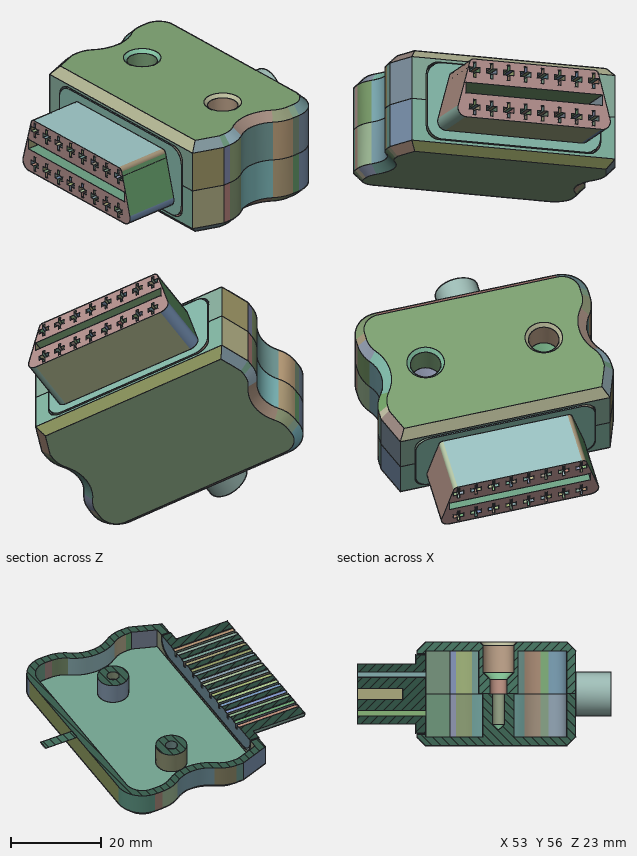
import cadquery as cq
import math


housing_width = 53.0
housing_height = 23.0
front_y = -18.05
rear_y = 17.1
rear_corner_radius = 6.0
waist_half_length = 9.3
waist_depth = 2.95
taper_start_y = -11.05
front_width = 47.85
edge_chamfer = 1.95
wall = 2.0

half_width = housing_width / 2
half_height = housing_height / 2

screw_spacing = 26.95
upper_boss_radius = 4.35
lower_boss_radius = 3.5
head_bore_radius = 3.35
head_bore_depth = 6.7
head_bore_chamfer = 0.8
shank_radius = 1.8
pilot_radius = 1.3
pilot_depth = 6.7

flange_width = 40.8
flange_height = 17.4
flange_corner_radius = 3.5
flange_protrusion = 0.2
window_clearance = 0.15
window_corner_radius = 3.0

plug_front_y = -31.15
plug_height = 13.35
plug_mid_width = 33.5
plug_side_angle = 15.0
plug_lower_radius = 1.95
plug_upper_radius = 1.0

slot_width = 32.2
slot_height = 2.4
slot_depth = 10.0
contact_columns = 8
contact_row_length = 28.0
contact_row_spacing = 8.5
contact_pitch = contact_row_length / (contact_columns - 1)
cross_wide_width = 2.4
cross_wide_height = 1.1
cross_tall_width = 0.55
cross_tall_height = 3.5

cable_radius = 4.9
cable_end_y = 24.9


def housing_outline():
    """Outline of the housing on the parting plane: rounded rear, waisted sides, tapered front."""
    arc_y = waist_half_length / 2
    arc_x = waist_depth / 2
    arc_radius = (arc_x**2 + arc_y**2) / (2 * arc_x)
    arc_half_angle = math.asin(arc_y / arc_radius) / 2
    mid_y = arc_radius * math.sin(arc_half_angle)
    mid_x = arc_radius * (1 - math.cos(arc_half_angle))
    turn_x = half_width - arc_x
    waist_x = half_width - waist_depth
    corner_x = half_width - rear_corner_radius
    corner_y = rear_y - rear_corner_radius
    corner_mid = rear_corner_radius * math.sqrt(0.5)

    right_half = (
        cq.Workplane("XY")
        .moveTo(0, front_y)
        .lineTo(front_width / 2, front_y)
        .lineTo(half_width, taper_start_y)
        .lineTo(half_width, -waist_half_length)
        .threePointArc((half_width - mid_x, mid_y - waist_half_length), (turn_x, -arc_y))
        .threePointArc((waist_x, 0), (turn_x, arc_y))
        .threePointArc((half_width - mid_x, waist_half_length - mid_y), (half_width, waist_half_length))
        .lineTo(half_width, corner_y)
        .threePointArc((corner_x + corner_mid, corner_y + corner_mid), (corner_x, rear_y))
        .lineTo(0, rear_y)
    )
    return right_half.mirrorY()


def flange_block(clearance, corner_radius, start_y):
    """Block of the flange section, grown by a clearance, from start_y to the inside of the front wall."""
    end_y = front_y + wall
    return (
        cq.Workplane("XZ", origin=(0, end_y, 0))
        .rect(flange_width + 2 * clearance, flange_height + 2 * clearance)
        .extrude(end_y - start_y)
        .edges("|Y")
        .fillet(corner_radius)
    )


def screw_points():
    """Workplane holding the two screw positions on the parting plane."""
    return cq.Workplane("XY").pushPoints([(-screw_spacing / 2, 0), (screw_spacing / 2, 0)])


def hollow_shell(boss_radius):
    """Upper half of the housing: chamfered shell with two bosses and a front window."""
    shell = housing_outline().extrude(half_height).faces(">Z").edges().chamfer(edge_chamfer)
    cavity = housing_outline().offset2D(-wall).extrude(half_height - wall)
    bosses = screw_points().circle(boss_radius).extrude(half_height - wall)
    window = flange_block(window_clearance, window_corner_radius, front_y)
    return shell.cut(cavity).union(bosses).cut(window)


def screw_seat(location):
    """Chamfered head bore, conical seat and shank hole, as a solid to cut."""
    bore_bottom = half_height - head_bore_depth
    seat_bottom = bore_bottom - (head_bore_radius - shank_radius)
    profile = [
        (0, 0),
        (shank_radius, 0),
        (shank_radius, seat_bottom),
        (head_bore_radius, bore_bottom),
        (head_bore_radius, half_height - head_bore_chamfer),
        (head_bore_radius + head_bore_chamfer, half_height),
        (0, half_height),
    ]
    seat = cq.Workplane("XZ").polyline(profile).close().revolve(360, (0, 0, 0), (0, 1, 0))
    return seat.val().moved(location)


def pilot_hole(location):
    """Blind screw hole with a 45 degree conical end, as a solid to cut."""
    profile = [
        (0, 0),
        (pilot_radius, 0),
        (pilot_radius, -pilot_depth),
        (0, -pilot_depth - pilot_radius),
    ]
    hole = cq.Workplane("XZ").polyline(profile).close().revolve(360, (0, 0, 0), (0, 1, 0))
    return hole.val().moved(location)


def make_upper_shell():
    shell = hollow_shell(upper_boss_radius)
    return shell.cut(screw_points().eachpoint(screw_seat))


def make_lower_shell():
    shell = hollow_shell(lower_boss_radius).mirror("XY")
    return shell.cut(screw_points().eachpoint(pilot_hole))


def plug_body():
    """D-shaped plug in front of the flange."""
    side_shift = plug_height / 2 * math.tan(math.radians(plug_side_angle))
    bottom_x = plug_mid_width / 2 + side_shift
    top_x = plug_mid_width / 2 - side_shift
    top_z = plug_height / 2
    corners = [(-bottom_x, -top_z), (bottom_x, -top_z), (top_x, top_z), (-top_x, top_z)]
    flange_front_y = front_y - flange_protrusion
    return (
        cq.Workplane("XZ", origin=(0, flange_front_y, 0))
        .polyline(corners)
        .close()
        .extrude(flange_front_y - plug_front_y)
        .edges("|Y and <Z")
        .fillet(plug_lower_radius)
        .edges("|Y and >Z")
        .fillet(plug_upper_radius)
    )


def contact_crosses():
    """Cross-shaped contact openings in two rows, running through the whole connector."""
    back_y = front_y + wall
    grid = (
        cq.Workplane("XZ", origin=(0, back_y, 0))
        .rarray(contact_pitch, contact_row_spacing, contact_columns, 2)
    )
    length = back_y - plug_front_y
    wide_arms = grid.rect(cross_wide_width, cross_wide_height).extrude(length)
    tall_arms = grid.rect(cross_tall_width, cross_tall_height).extrude(length)
    return wide_arms.union(tall_arms)


def make_connector():
    flange = flange_block(0, flange_corner_radius, front_y - flange_protrusion)
    slot = (
        cq.Workplane("XZ", origin=(0, plug_front_y + slot_depth, 0))
        .rect(slot_width, slot_height)
        .extrude(slot_depth)
    )
    return flange.union(plug_body()).cut(slot).cut(contact_crosses())


def make_cable():
    """Round cable standing on the rear face of the housing."""
    return cq.Workplane("XZ", origin=(0, rear_y, 0)).circle(cable_radius).extrude(rear_y - cable_end_y)


upper_shell = make_upper_shell()
lower_shell = make_lower_shell()
connector = make_connector()
cable = make_cable()

result = cq.Compound.makeCompound([
    upper_shell.val(),
    lower_shell.val(),
    connector.val(),
    cable.val(),
])